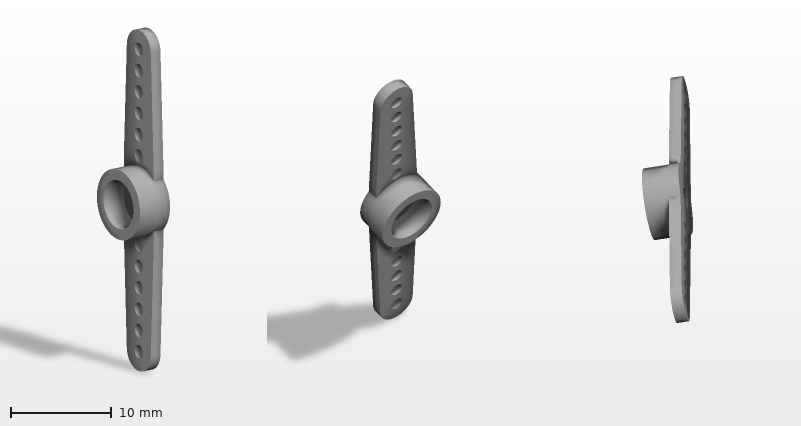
import cadquery as cq

HUB_DIAMETER = 7.2
HUB_LENGTH = 3.7
SOCKET_DIAMETER = 5.0
SCREW_HOLE_DIAMETER = 2.2

OVERALL_LENGTH = 35.2
ARM_THICKNESS = 1.2
ARM_ROOT_WIDTH = 5.0
ARM_TIP_WIDTH = 4.0

ARM_HOLE_DIAMETER = 1.35
ARM_HOLE_COUNT = 6
ARM_HOLE_PITCH = 2.2

HUB_RADIUS = HUB_DIAMETER / 2
ROOT_HALF_WIDTH = ARM_ROOT_WIDTH / 2
TIP_HALF_WIDTH = ARM_TIP_WIDTH / 2
TIP_Z = OVERALL_LENGTH / 2
TIP_CENTRE_Z = TIP_Z - TIP_HALF_WIDTH
ROOT_Z = HUB_RADIUS
ARM_FRONT_Y = HUB_LENGTH - ARM_THICKNESS
SOCKET_DEPTH = ARM_FRONT_Y


def front_plane():
    """XZ sketch plane on the -Y face of the hub; extrusion by a negative length runs toward +Y."""
    return cq.Workplane("XZ")


def cylinder_along_y(diameter, length, z=0):
    """Cylinder that starts at Y = 0 and runs toward +Y."""
    return front_plane().center(0, z).circle(diameter / 2).extrude(-length)


def make_arms():
    """Double-ended blade, parallel-sided across the hub and tapered to rounded tips."""
    return (
        front_plane()
        .workplane(offset=-ARM_FRONT_Y)
        .moveTo(ROOT_HALF_WIDTH, -ROOT_Z)
        .lineTo(ROOT_HALF_WIDTH, ROOT_Z)
        .lineTo(TIP_HALF_WIDTH, TIP_CENTRE_Z)
        .threePointArc((0, TIP_Z), (-TIP_HALF_WIDTH, TIP_CENTRE_Z))
        .lineTo(-ROOT_HALF_WIDTH, ROOT_Z)
        .lineTo(-ROOT_HALF_WIDTH, -ROOT_Z)
        .lineTo(-TIP_HALF_WIDTH, -TIP_CENTRE_Z)
        .threePointArc((0, -TIP_Z), (TIP_HALF_WIDTH, -TIP_CENTRE_Z))
        .close()
        .extrude(-ARM_THICKNESS)
    )


def cut_hub_bore(body):
    """Socket from the -Y face, then a screw hole through the floor."""
    body = body.cut(cylinder_along_y(SOCKET_DIAMETER, SOCKET_DEPTH))
    return body.cut(cylinder_along_y(SCREW_HOLE_DIAMETER, HUB_LENGTH))


def cut_arm_holes(body):
    """Evenly spaced through holes, mirrored on both arms."""
    for index in range(ARM_HOLE_COUNT):
        distance = TIP_CENTRE_Z - index * ARM_HOLE_PITCH
        for z in (distance, -distance):
            body = body.cut(cylinder_along_y(ARM_HOLE_DIAMETER, HUB_LENGTH, z=z))
    return body


hub = cylinder_along_y(HUB_DIAMETER, HUB_LENGTH)
result = cut_arm_holes(cut_hub_bore(hub.union(make_arms())))